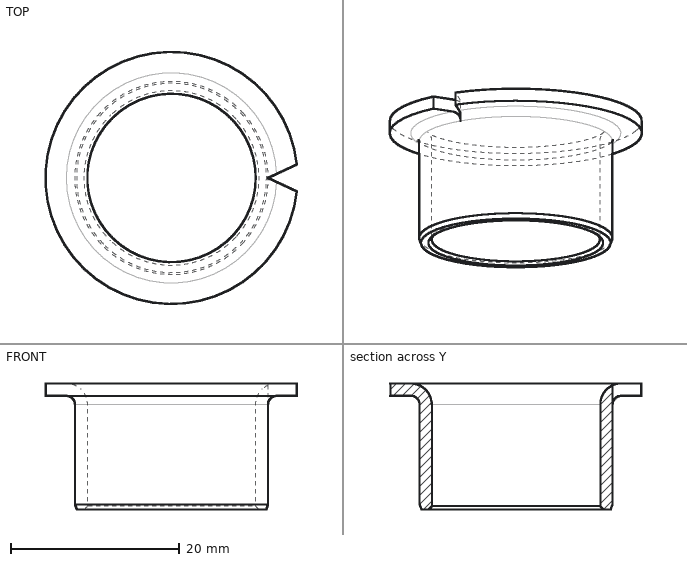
import cadquery as cq
import math

bore_radius = 10.0
wall_thickness = 1.5
flange_radius = 15.0
height = 15.0

inner_bend_radius = 2.5
outer_bend_radius = inner_bend_radius - wall_thickness

chamfer_height = 0.6
chamfer_angle = 20.0
chamfer_width = chamfer_height * math.tan(math.radians(chamfer_angle))

bore_chamfer = 0.4

notch_half_angle = 25.0
notch_overshoot = 1.0

sleeve_radius = bore_radius + wall_thickness
flange_bottom = height - wall_thickness
bend_center_r = bore_radius + inner_bend_radius
bend_center_z = height - inner_bend_radius


def bend_midpoint(radius):
    """Middle of a quarter arc that turns from the axial to the radial direction."""
    offset = radius * math.sqrt(0.5)
    return (bend_center_r - offset, bend_center_z + offset)


def make_bushing():
    """Revolve the wall profile (radius, height) about the Z axis."""
    profile = (
        cq.Workplane("XZ")
        .moveTo(bore_radius, bore_chamfer)
        .lineTo(bore_radius + bore_chamfer, 0)
        .lineTo(sleeve_radius - chamfer_width, 0)
        .lineTo(sleeve_radius, chamfer_height)
        .lineTo(sleeve_radius, bend_center_z)
        .threePointArc(bend_midpoint(outer_bend_radius), (bend_center_r, flange_bottom))
        .lineTo(flange_radius, flange_bottom)
        .lineTo(flange_radius, height)
        .lineTo(bend_center_r, height)
        .threePointArc(bend_midpoint(inner_bend_radius), (bore_radius, bend_center_z))
        .close()
    )
    return profile.revolve(360, (0, 0, 0), (0, 1, 0))


def make_notch():
    """Triangular prism through flange and bend, its tip in line with the sleeve's outer surface."""
    reach = flange_radius - sleeve_radius + notch_overshoot
    half_width = reach * math.tan(math.radians(notch_half_angle))
    outer_x = sleeve_radius + reach
    return (
        cq.Workplane("XY")
        .workplane(offset=bend_center_z)
        .polyline([(sleeve_radius, 0), (outer_x, -half_width), (outer_x, half_width)])
        .close()
        .extrude(height - bend_center_z)
    )


result = make_bushing().cut(make_notch())